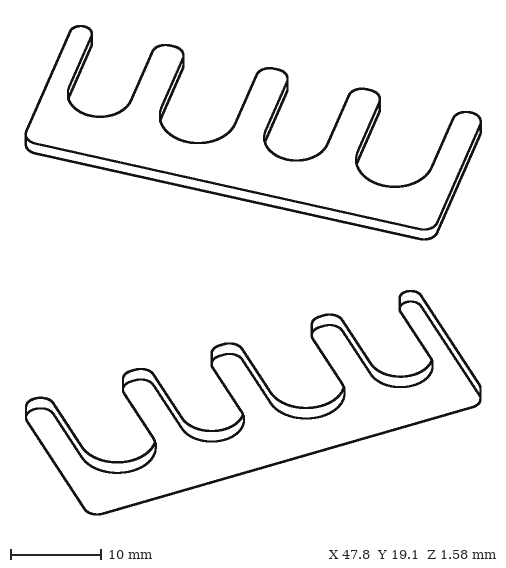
import cadquery as cq

length = 47.75
depth = 19.05
thickness = 1.58
corner_radius = 1.55

slot_widths = [7.15, 8.55, 7.15, 8.55]
slot_pitch = 11.4
first_slot_x = 6.05
slot_center_y = 9.55

round_clearance = 0.005


def slot(center_x, width):
    """Cutter for a slot with a round bottom, open at the +Y edge."""
    radius = width / 2
    return (
        cq.Workplane("XY")
        .moveTo(center_x - radius, depth)
        .lineTo(center_x - radius, slot_center_y)
        .threePointArc((center_x, slot_center_y - radius), (center_x + radius, slot_center_y))
        .lineTo(center_x + radius, depth)
        .close()
        .extrude(thickness)
    )


def round_tip(body, left, right):
    """Round both corners of the finger tip between two X positions."""
    radius = min(corner_radius, (right - left - round_clearance) / 2)
    margin = round_clearance
    tip_corners = cq.selectors.BoxSelector(
        (left - margin, depth - margin, -margin),
        (right + margin, depth + margin, thickness + margin),
    )
    return body.edges("|Z").edges(tip_corners).fillet(radius)


plate = cq.Workplane("XY").box(length, depth, thickness, centered=False)
plate = plate.edges("|Z and <Y").fillet(corner_radius)

finger_sides = [0.0]
for index, width in enumerate(slot_widths):
    center_x = first_slot_x + index * slot_pitch
    plate = plate.cut(slot(center_x, width))
    finger_sides += [center_x - width / 2, center_x + width / 2]
finger_sides.append(length)

for left, right in zip(finger_sides[::2], finger_sides[1::2]):
    plate = round_tip(plate, left, right)

result = plate